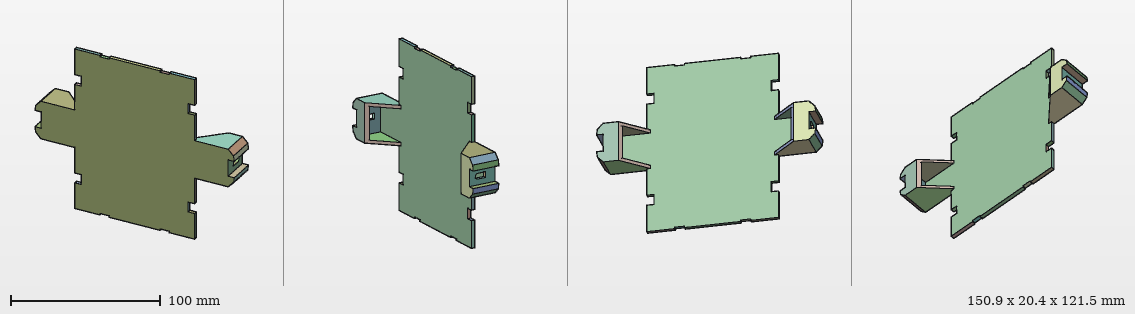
import cadquery as cq

overall_length = 150.9
overall_height = 121.5
block_depth = 20.4

plate_width = 90.7
plate_thickness = 2.7
side_notch_depth = 5.0
side_notch_height = 7.4
side_notch_offset = 37.4
edge_notch_width = 6.8
edge_notch_depth = 1.0
edge_notch_offset = 22.8

block_height = 28.7
rear_face_length = 15.1
chamfer = 4.0
lip_taper = 0.6
wall_thickness = 2.4
end_channel_depth = 4.7
end_channel_height = 12.4

slot_height = 4.0
slot_front = 7.7
slot_rear = 15.7

half_length = overall_length / 2
half_height = overall_height / 2


def centered_box(x, z, width, height, depth):
    """Box centered on (x, z), running from y = 0 to the given depth."""
    box = cq.Workplane("XY").box(width, depth, height, centered=(True, False, True))
    return box.translate((x, 0, z))


def make_plate():
    plate = centered_box(0, 0, plate_width, overall_height, plate_thickness)
    for x_side in (-1, 1):
        for z_side in (-1, 1):
            plate = plate.cut(centered_box(
                x_side * plate_width / 2, z_side * side_notch_offset,
                2 * side_notch_depth, side_notch_height, plate_thickness))
            plate = plate.cut(centered_box(
                x_side * edge_notch_offset, z_side * half_height,
                edge_notch_width, 2 * edge_notch_depth, plate_thickness))
    return plate


def make_screw_slot():
    """Slot cutter running along X through the left block."""
    radius = slot_height / 2
    arc_start = slot_rear - radius
    return (
        cq.Workplane("YZ", origin=(-half_length, 0, 0))
        .moveTo(slot_front, -radius)
        .lineTo(arc_start, -radius)
        .threePointArc((slot_rear, 0), (arc_start, radius))
        .lineTo(slot_front, radius)
        .close()
        .extrude(half_length)
    )


def make_cavity():
    """Hollow of the left block, open through the sloped inner face."""
    cavity_start = end_channel_depth + wall_thickness - half_length
    cavity_end = rear_face_length + block_depth - plate_thickness - half_length
    cavity_depth = block_depth - wall_thickness - plate_thickness
    cavity = cq.Workplane("XY").box(
        cavity_end - cavity_start, cavity_depth, block_height - 2 * wall_thickness,
        centered=(False, False, True))
    return cavity.translate((cavity_start, plate_thickness, 0))


def make_left_block():
    rear_edge = rear_face_length - half_length
    block = (
        cq.Workplane("XY", origin=(0, 0, -block_height / 2))
        .moveTo(-half_length, 0)
        .lineTo(rear_edge + block_depth, 0)
        .lineTo(rear_edge, block_depth)
        .lineTo(-half_length, block_depth)
        .close()
        .extrude(block_height)
    )
    half_block = block_height / 2
    chamfer_start = lip_taper - half_length
    for z_side in (-1, 1):
        corner = (
            cq.Workplane("XZ")
            .moveTo(-half_length, z_side * end_channel_height / 2)
            .lineTo(chamfer_start, z_side * (half_block - chamfer))
            .lineTo(chamfer_start + chamfer, z_side * half_block)
            .lineTo(-half_length, z_side * half_block)
            .close()
            .extrude(-block_depth)
        )
        block = block.cut(corner)
    block = block.cut(centered_box(
        -half_length, 0, 2 * end_channel_depth, end_channel_height, block_depth))
    return block.cut(make_screw_slot()).cut(make_cavity())


left_block = make_left_block()
right_block = left_block.mirror("YZ")
result = make_plate().union(left_block).union(right_block)